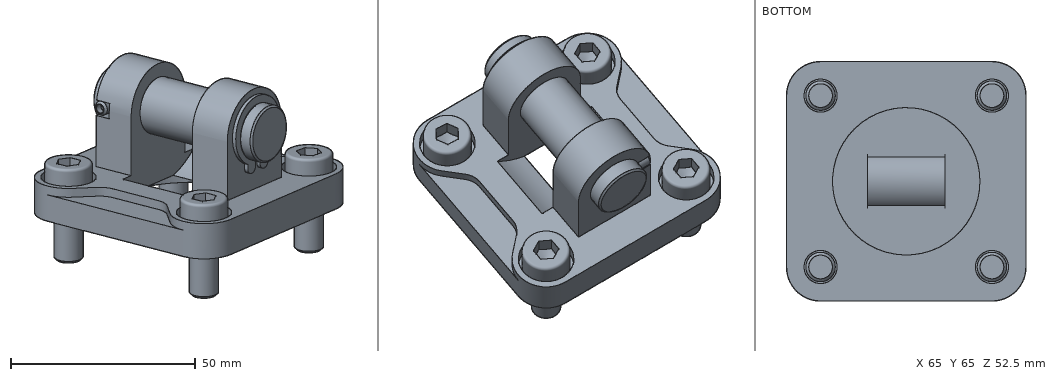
import cadquery as cq
import math

PLATE_SIDE = 65.0
PLATE_THICKNESS = 10.15
SCREW_PITCH = 46.5
SCREW_OFFSET = SCREW_PITCH / 2
CORNER_RADIUS = PLATE_SIDE / 2 - SCREW_OFFSET
SPIGOT_DIAMETER = 40.0
SPIGOT_DEPTH = 5.0

RECESS_DEPTH = 2.55
RECESS_FLOOR_Y = 23.4
RECESS_BLEND_RADIUS = 6.0

AXIS_HEIGHT = 27.05
LUG_RADIUS = 11.95
LUG_GAP = 21.0
LUG_SPAN = 45.0
SWING_RADIUS = 23.0

PIN_DIAMETER = 16.0
PIN_LEFT_OVERHANG = 4.3
PIN_RIGHT_OVERHANG = 5.25
PIN_CHAMFER = 0.5

RING_GAP = 0.1
RING_THICKNESS = 1.1
RING_OUTER_RADIUS = 9.8
RING_RISE = 0.4
RING_GROOVE_DIAMETER = 15.2
RING_GROOVE_WIDTH = 1.4
RING_SLIT = 1.95
EAR_RADIUS = 1.75
EAR_DROP = 9.6

LOCK_DIAMETER = 4.0
LOCK_OFFSET = 1.3
LOCK_CHAMFER = 0.65
LOCK_EMBED = 3.9
LOCK_BORE_DIAMETER = 2.4
LOCK_BORE_DEPTH = 1.95
SLOT_WIDTH = 4.5
SLOT_HEIGHT = 4.35

SHANK_DIAMETER = 8.0
SHANK_LENGTH = 20.0
SHANK_PROTRUSION = 13.5
SHANK_CHAMFER = 0.8
HEAD_DIAMETER = 13.0
HEAD_HEIGHT = 8.0
HEAD_FILLET = 0.8
SOCKET_FLATS = 6.0
SOCKET_DEPTH = 4.0
SOCKET_CONE_DEPTH = 1.6
COUNTERBORE_DIAMETER = 15.0
CLEARANCE_DIAMETER = 9.0

SCREWS = [(-1, -1, 0), (1, -1, 0), (-1, 1, 0), (1, 1, 27)]


def cylinder_x(x_start, length, radius, rise=0.0):
    """Cylinder along +X around the pivot axis, optionally raised above it."""
    plane = cq.Workplane("YZ", origin=(x_start, 0, AXIS_HEIGHT + rise))
    return plane.circle(radius).extrude(length)


def edge_recess():
    """Recess on the +Y edge: flat wall, blended into 45 degree lines, then the corner arcs."""
    diagonal = math.sqrt(0.5)
    blend_x = (RECESS_FLOOR_Y - CORNER_RADIUS / diagonal
               - RECESS_BLEND_RADIUS * (1 / diagonal - 1))

    def blend_point(degrees):
        angle = math.radians(degrees)
        return (blend_x + RECESS_BLEND_RADIUS * math.sin(angle),
                RECESS_FLOOR_Y + RECESS_BLEND_RADIUS * (1 - math.cos(angle)))

    def corner_point(degrees):
        angle = math.radians(degrees)
        return (SCREW_OFFSET - CORNER_RADIUS * math.sin(angle),
                SCREW_OFFSET + CORNER_RADIUS * math.cos(angle))

    def mirrored(point):
        return (-point[0], point[1])

    return (
        cq.Workplane("XY", origin=(0, 0, PLATE_THICKNESS - RECESS_DEPTH))
        .moveTo(*mirrored(blend_point(0)))
        .lineTo(*blend_point(0))
        .threePointArc(blend_point(22.5), blend_point(45))
        .lineTo(*corner_point(45))
        .threePointArc(corner_point(22.5), corner_point(0))
        .lineTo(*mirrored(corner_point(0)))
        .threePointArc(mirrored(corner_point(22.5)), mirrored(corner_point(45)))
        .lineTo(*mirrored(blend_point(45)))
        .threePointArc(mirrored(blend_point(22.5)), mirrored(blend_point(0)))
        .close()
        .extrude(RECESS_DEPTH)
    )


def base_plate():
    """Rounded square plate with edge recesses, underside spigot bore and swing clearance."""
    plate = (
        cq.Workplane("XY")
        .rect(PLATE_SIDE, PLATE_SIDE)
        .extrude(PLATE_THICKNESS)
        .edges("|Z")
        .fillet(CORNER_RADIUS)
    )
    recess = edge_recess()
    spigot_bore = cq.Workplane("XY").circle(SPIGOT_DIAMETER / 2).extrude(SPIGOT_DEPTH)
    swing = cylinder_x(-LUG_GAP / 2, LUG_GAP, SWING_RADIUS)
    return plate.cut(recess).cut(recess.mirror("XZ")).cut(spigot_bore).cut(swing)


def lug(x_start):
    """Upright lug with a round top centred on the pivot axis."""
    height = AXIS_HEIGHT - PLATE_THICKNESS
    width = (LUG_SPAN - LUG_GAP) / 2
    return (
        cq.Workplane("YZ", origin=(x_start, 0, PLATE_THICKNESS))
        .moveTo(-LUG_RADIUS, 0)
        .lineTo(LUG_RADIUS, 0)
        .lineTo(LUG_RADIUS, height)
        .threePointArc((0, height + LUG_RADIUS), (-LUG_RADIUS, height))
        .close()
        .extrude(width)
    )


def lock_slot():
    """Slot in the outer face of the -X lug, open towards -Y."""
    return cq.Workplane("XY").box(SLOT_WIDTH, LUG_RADIUS, SLOT_HEIGHT).translate(
        (-LUG_SPAN / 2 + SLOT_WIDTH / 2, -LUG_RADIUS / 2, AXIS_HEIGHT)
    )


def pivot_pin():
    """Chamfered pin with the groove for the retaining ring."""
    x_start = -LUG_SPAN / 2 - PIN_LEFT_OVERHANG
    length = LUG_SPAN + PIN_LEFT_OVERHANG + PIN_RIGHT_OVERHANG
    pin = cylinder_x(x_start, length, PIN_DIAMETER / 2).faces("<X or >X").chamfer(PIN_CHAMFER)
    groove = cylinder_x(LUG_SPAN / 2, RING_GROOVE_WIDTH, PIN_DIAMETER).cut(
        cylinder_x(LUG_SPAN / 2, RING_GROOVE_WIDTH, RING_GROOVE_DIAMETER / 2)
    )
    return pin.cut(groove)


def retaining_ring():
    """Eccentric ring, thickest at the top, with two rounded ears beside a slit at the bottom."""
    x_start = LUG_SPAN / 2 + RING_GAP
    ring = cylinder_x(x_start, RING_THICKNESS, RING_OUTER_RADIUS, RING_RISE)
    ear_offset = RING_SLIT / 2 + EAR_RADIUS
    for side in (-1, 1):
        ear = (
            cq.Workplane("YZ", origin=(x_start, side * ear_offset, AXIS_HEIGHT))
            .moveTo(-EAR_RADIUS, 0)
            .lineTo(-EAR_RADIUS, -EAR_DROP)
            .threePointArc((0, -EAR_DROP - EAR_RADIUS), (EAR_RADIUS, -EAR_DROP))
            .lineTo(EAR_RADIUS, 0)
            .close()
            .extrude(RING_THICKNESS)
        )
        ring = ring.union(ear)
    slit_height = EAR_DROP + EAR_RADIUS
    slit = cq.Workplane("XY").box(RING_THICKNESS, RING_SLIT, slit_height).translate(
        (x_start + RING_THICKNESS / 2, 0, AXIS_HEIGHT - slit_height / 2)
    )
    bore = cylinder_x(x_start, RING_THICKNESS, RING_GROOVE_DIAMETER / 2)
    return ring.cut(slit).cut(bore)


def lock_pin():
    """Small hollow-ended pin along Y that enters the pivot pin from the -Y side."""
    length = LUG_RADIUS - PIN_DIAMETER / 2 + LOCK_EMBED
    end = cq.Workplane("XZ", origin=(-LUG_SPAN / 2 + LOCK_OFFSET, -LUG_RADIUS, AXIS_HEIGHT))
    body = end.circle(LOCK_DIAMETER / 2).extrude(-length).faces("<Y").chamfer(LOCK_CHAMFER)
    return body.cut(end.circle(LOCK_BORE_DIAMETER / 2).extrude(-LOCK_BORE_DEPTH))


def screw(socket_turn):
    """Socket head screw on the Z axis, its head seat at the height set by the protrusion."""
    seat = cq.Workplane("XY", origin=(0, 0, SHANK_LENGTH - SHANK_PROTRUSION))
    shank = (
        seat.circle(SHANK_DIAMETER / 2)
        .extrude(-SHANK_LENGTH)
        .faces("<Z")
        .chamfer(SHANK_CHAMFER)
    )
    head = seat.circle(HEAD_DIAMETER / 2).extrude(HEAD_HEIGHT).faces(">Z").edges().fillet(HEAD_FILLET)
    corner_diameter = SOCKET_FLATS / math.cos(math.radians(30))
    floor = seat.workplane(offset=HEAD_HEIGHT - SOCKET_DEPTH)
    socket = floor.polygon(6, corner_diameter).extrude(SOCKET_DEPTH)
    cone = cq.Workplane(
        cq.Solid.makeCone(
            corner_diameter / 2, 0, SOCKET_CONE_DEPTH, floor.plane.origin, cq.Vector(0, 0, -1)
        )
    )
    cone = cone.intersect(floor.polygon(6, corner_diameter).extrude(-SOCKET_CONE_DEPTH))
    cutter = socket.union(cone).rotate((0, 0, 0), (0, 0, 1), socket_turn)
    return shank.union(head).cut(cutter)


def screw_hole():
    """Clearance hole with a counterbore that ends at the screw head seat."""
    seat_height = SHANK_LENGTH - SHANK_PROTRUSION
    clearance = cq.Workplane("XY").circle(CLEARANCE_DIAMETER / 2).extrude(PLATE_THICKNESS)
    counterbore = (
        cq.Workplane("XY", origin=(0, 0, seat_height))
        .circle(COUNTERBORE_DIAMETER / 2)
        .extrude(PLATE_THICKNESS - seat_height)
    )
    return clearance.union(counterbore)


result = base_plate()
result = result.union(lug(-LUG_SPAN / 2)).union(lug(LUG_GAP / 2)).cut(lock_slot())
result = result.union(pivot_pin()).union(retaining_ring()).union(lock_pin())

for x_sign, y_sign, turn in SCREWS:
    place = (x_sign * SCREW_OFFSET, y_sign * SCREW_OFFSET, 0)
    result = result.cut(screw_hole().translate(place)).union(screw(turn).translate(place))